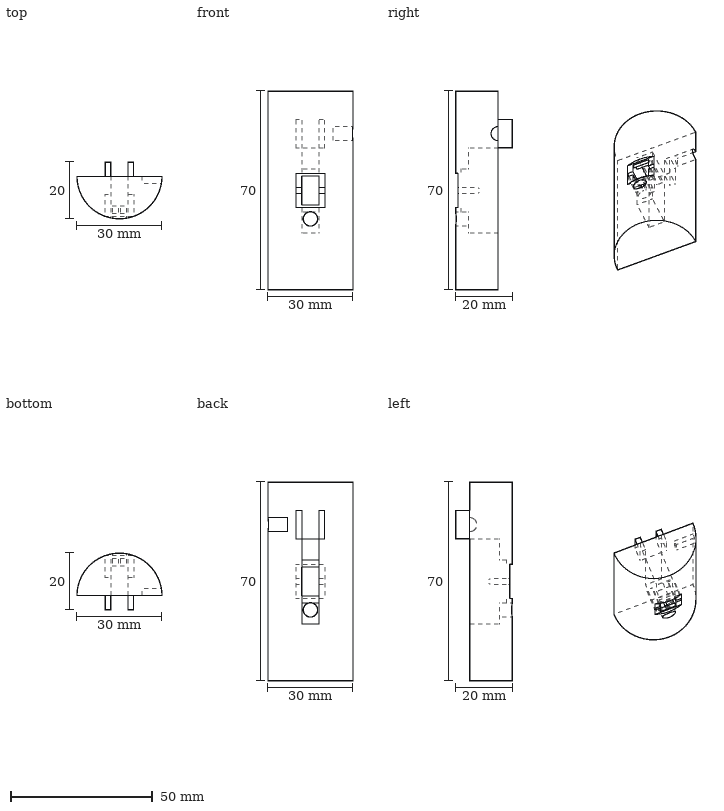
import cadquery as cq

body_height = 70.0
body_diameter = 30.0
body_radius = body_diameter / 2
mid_height = body_height / 2

recess_width = 10.1
recess_height = 12.0
opening_width = 5.95
opening_height = 10.1
window_wall = 1.1
cavity_height = 15.1
rear_cavity_height = 29.95
rear_cavity_depth = 10.5

slot_height = 2.0
slot_axis_y = -body_radius / 2

hole_diameter = 5.0
front_hole_drop = 10.0
side_hole_depth = 7.0

overall_depth = 20.0
tab_length = overall_depth - body_radius
tab_height = 10.0
tab_thickness = 2.0
tab_outer_span = 10.0
tab_center_z = 55.0

recess_floor_y = -((body_radius**2 - (recess_width / 2) ** 2) ** 0.5)


def block(width, height, y_start, y_end, center_x, center_z):
    """Box centred in X and Z that spans the given Y range."""
    center_y = (y_start + y_end) / 2
    return cq.Workplane("XY").box(width, y_end - y_start, height).translate((center_x, center_y, center_z))


def make_body():
    return (
        cq.Workplane("XY")
        .moveTo(-body_radius, 0)
        .threePointArc((0, -body_radius), (body_radius, 0))
        .close()
        .extrude(body_height)
    )


def make_window():
    cavity_front_y = recess_floor_y + window_wall
    recess = block(recess_width, recess_height, -body_radius, recess_floor_y, 0, mid_height)
    opening = block(opening_width, opening_height, -body_radius, 0, 0, mid_height)
    cavity = block(opening_width, cavity_height, cavity_front_y, 0, 0, mid_height)
    rear_cavity = block(opening_width, rear_cavity_height, -rear_cavity_depth, 0, 0, mid_height)
    return recess.union(opening).union(cavity).union(rear_cavity)


def make_pivot_slot():
    slot = block(recess_width, slot_height, -body_radius, slot_axis_y, 0, mid_height)
    rounded_end = (
        cq.Workplane("YZ", origin=(-recess_width / 2, slot_axis_y, mid_height))
        .circle(slot_height / 2)
        .extrude(recess_width)
    )
    return slot.union(rounded_end)


def make_front_hole():
    return (
        cq.Workplane("XZ", origin=(0, 0, mid_height - front_hole_drop))
        .circle(hole_diameter / 2)
        .extrude(body_radius)
    )


def make_side_hole():
    return (
        cq.Workplane("YZ", origin=(body_radius - side_hole_depth, 0, tab_center_z))
        .circle(hole_diameter / 2)
        .extrude(side_hole_depth)
        .intersect(make_body())
    )


result = make_body().cut(make_window()).cut(make_pivot_slot()).cut(make_front_hole()).cut(make_side_hole())

tab_offset = (tab_outer_span - tab_thickness) / 2
for side in (-1, 1):
    tab = block(tab_thickness, tab_height, 0, tab_length, side * tab_offset, tab_center_z)
    result = result.union(tab)